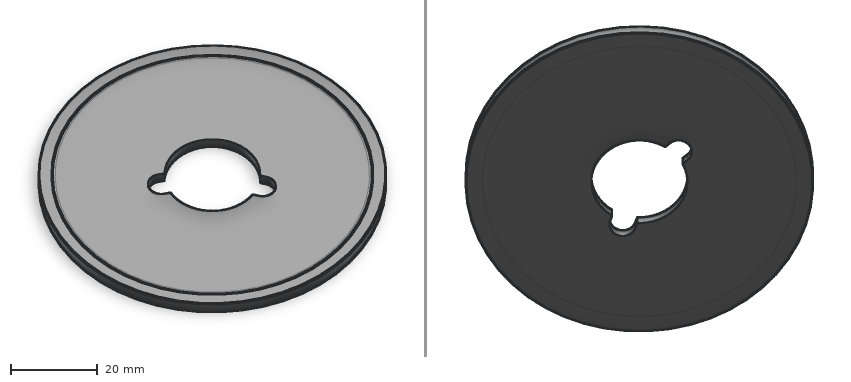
import cadquery as cq

outer_diameter = 80.0
thickness = 3.1
rim_chamfer = 0.2

web_diameter = 72.3
web_recess = 0.26

inlay_inner_diameter = 73.45
inlay_outer_diameter = 74.1
inlay_depth = 0.4

bore_diameter = 22.1
keyway_width = 6.1
keyway_reach = 15.1
keyway_angles = (0.0, 210.0)

outer_radius = outer_diameter / 2
web_radius = web_diameter / 2
crest_radius = outer_radius - rim_chamfer


def rim_face_height(radius):
    """Height of the sloping upper rim face at a given radius."""
    rise = web_recess * (radius - web_radius) / (crest_radius - web_radius)
    return thickness - web_recess + rise


def make_inlay():
    """Narrow ring whose upper and lower faces follow the rim slope."""
    inner = inlay_inner_diameter / 2
    outer = inlay_outer_diameter / 2
    profile = [
        (inner, rim_face_height(inner) - inlay_depth),
        (outer, rim_face_height(outer) - inlay_depth),
        (outer, rim_face_height(outer)),
        (inner, rim_face_height(inner)),
    ]
    return cq.Workplane("XZ").polyline(profile).close().revolve(360, (0, 0), (0, 1))


def make_keyway(angle):
    """Cutter running from the bore axis to the round end of a keyway."""
    end_center = keyway_reach - keyway_width / 2
    straight = cq.Workplane("XY").rect(end_center, keyway_width).extrude(thickness)
    straight = straight.translate((end_center / 2, 0, 0))
    round_end = cq.Workplane("XY").center(end_center, 0).circle(keyway_width / 2).extrude(thickness)
    return straight.union(round_end).rotate((0, 0, 0), (0, 0, 1), angle)


def make_disc(inlay):
    """Dished disc with a chamfered rim, a bore with keyways and the inlay groove."""
    profile = [
        (0, web_recess),
        (web_radius, web_recess),
        (crest_radius, 0),
        (outer_radius, rim_chamfer),
        (outer_radius, thickness - rim_chamfer),
        (crest_radius, thickness),
        (web_radius, thickness - web_recess),
        (0, thickness - web_recess),
    ]
    disc = cq.Workplane("XZ").polyline(profile).close().revolve(360, (0, 0), (0, 1))
    disc = disc.cut(cq.Workplane("XY").circle(bore_diameter / 2).extrude(thickness))
    for angle in keyway_angles:
        disc = disc.cut(make_keyway(angle))
    return disc.cut(inlay)


inlay = make_inlay()
disc = make_disc(inlay)
result = cq.Compound.makeCompound([disc.val(), inlay.val()])